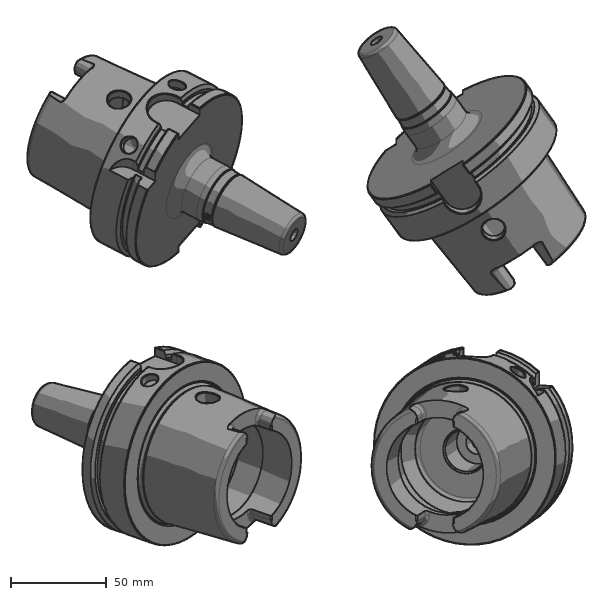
import cadquery as cq
import math


FLANGE_START = 50.0
SHANK_DIAMETER = 75.4
SHANK_RADIUS = SHANK_DIAMETER / 2
TAPER_END = 47.3
TAPER_SLOPE = 1 / 20
SHANK_END_ROUND = 1.9

RELIEF_DEPTH = 0.5
RELIEF_START = 48.1
RELIEF_END = 49.0
FACE_GROOVE_ROUND = 1.3
FACE_GROOVE_RIM_RADIUS = 39.5

FLANGE_END = 79.0
FLANGE_RADIUS = 100.0 / 2
FLANGE_CHAMFER = 0.5
GRIP_FLOOR_START = 68.0
GRIP_FLOOR_END = 71.8
GRIP_FLOOR_RADIUS = 46.1
GRIP_BEVEL_DEPTH = 2.2
GRIP_BEVEL_WIDTH = 1.3

LENGTH = 145.0
NECK_RADIUS = 32.0 / 2
NECK_FILLET = 5.8
NOSE_TAPER_START = 94.2
NOSE_TAPER_ANGLE = 4.5
TIP_ROUND = 1.7
BAND_START = 97.9
BAND_END = 104.0
BAND_DEPTH = 0.3
BAND_ENTRY = 0.5
BAND_EXIT = 0.9

CAVITY_RADIUS = 53.0 / 2
CLAMP_RADIUS = 63.0 / 2
CLAMP_START = 19.6
CLAMP_END = 47.8
CLAMP_SHOULDER_ANGLE = 60
CLAMP_RUNOUT_ANGLE = 30
CAVITY_DEPTH = 50.8
CAVITY_CORNER_ROUND = 1.7
TUBE_RADIUS = 22.3 / 2
TUBE_CHAMFER = 0.9
TUBE_DEPTH = 20.3
COOLANT_SEAT_RADIUS = 12.0 / 2
COOLANT_RADIUS = 7.0 / 2

SLOT_HALF_WIDTH = 19.6 / 2
SLOT_SHOULDER_HEIGHT = 32.2
SLOT_LUG_ROUND = 5.1
SLOT_FLOOR_FILLET = 1.7
SLOT_EDGE_CHAMFER = 0.7
UPPER_SLOT_DEPTH = 9.9
LOWER_SLOT_DEPTH = 14.8

CROSS_HOLE_X = 35.0
CROSS_HOLE_DIAMETER = 12.0

NOTCH_WIDTH = 20.0
NOTCH_START = 54.7
NOTCH_FLOOR_Z = 44.0
SIDE_NOTCH_FLOOR_Z = 31.5
SIDE_NOTCH_WALL_Y = -31.6

RIM_HOLE_X = 59.0
RIM_HOLE_DIAMETER = 9.0
RIM_HOLE_DEPTH = 4.6
DRILL_POINT_ANGLE = 118
POINTED_HOLE_TILT = 32
FLAT_HOLE_TILT = -21.7

SCREW_X = 100.9
SCREW_SEAT_DIAMETER = 5.0
SCREW_SEAT_DEPTH = 0.6
SCREW_SOCKET_DIAMETER = 2.2
SCREW_SOCKET_DEPTH = 0.7

RIM_CHAMFER = 0.5
RIM_HOLE_CHAMFER = 0.3
CLEARANCE = 7.2
COS_45 = math.cos(math.radians(45))


def shank_radius(x):
    return SHANK_RADIUS - (TAPER_END - x) * TAPER_SLOPE


def nose_radius(x):
    return NECK_RADIUS - (x - NOSE_TAPER_START) * math.tan(math.radians(NOSE_TAPER_ANGLE))


def revolve_about_x(profile):
    return profile.close().revolve(360, (0, 0, 0), (1, 0, 0))


def outer_body():
    relief_radius = SHANK_RADIUS - RELIEF_DEPTH
    face_groove_center_radius = relief_radius + FACE_GROOVE_ROUND
    face_groove_reach = FACE_GROOVE_ROUND * COS_45
    face_groove_mid = (RELIEF_END + face_groove_reach, face_groove_center_radius - face_groove_reach)
    face_groove_end = (RELIEF_END + FACE_GROOVE_ROUND, face_groove_center_radius)
    bevel_radius = FLANGE_RADIUS - GRIP_BEVEL_DEPTH
    fillet_mid_x = FLANGE_END + NECK_FILLET * (1 - COS_45)
    fillet_mid_radius = NECK_RADIUS + NECK_FILLET * (1 - COS_45)
    profile = (
        cq.Workplane("XY")
        .lineTo(0, shank_radius(0))
        .lineTo(TAPER_END, SHANK_RADIUS)
        .lineTo(RELIEF_START, relief_radius)
        .lineTo(RELIEF_END, relief_radius)
        .threePointArc(face_groove_mid, face_groove_end)
        .lineTo(FLANGE_START, FACE_GROOVE_RIM_RADIUS)
        .lineTo(FLANGE_START, FLANGE_RADIUS - FLANGE_CHAMFER)
        .lineTo(FLANGE_START + FLANGE_CHAMFER, FLANGE_RADIUS)
        .lineTo(GRIP_FLOOR_START - GRIP_BEVEL_WIDTH, FLANGE_RADIUS)
        .lineTo(GRIP_FLOOR_START, bevel_radius)
        .lineTo(GRIP_FLOOR_START, GRIP_FLOOR_RADIUS)
        .lineTo(GRIP_FLOOR_END, GRIP_FLOOR_RADIUS)
        .lineTo(GRIP_FLOOR_END, bevel_radius)
        .lineTo(GRIP_FLOOR_END + GRIP_BEVEL_WIDTH, FLANGE_RADIUS)
        .lineTo(FLANGE_END - FLANGE_CHAMFER, FLANGE_RADIUS)
        .lineTo(FLANGE_END, FLANGE_RADIUS - FLANGE_CHAMFER)
        .lineTo(FLANGE_END, NECK_RADIUS + NECK_FILLET)
        .threePointArc((fillet_mid_x, fillet_mid_radius), (FLANGE_END + NECK_FILLET, NECK_RADIUS))
        .lineTo(NOSE_TAPER_START, NECK_RADIUS)
        .lineTo(BAND_START, nose_radius(BAND_START))
        .lineTo(BAND_START + BAND_ENTRY, nose_radius(BAND_START + BAND_ENTRY) - BAND_DEPTH)
        .lineTo(BAND_END - BAND_EXIT, nose_radius(BAND_END - BAND_EXIT) - BAND_DEPTH)
        .lineTo(BAND_END, nose_radius(BAND_END))
        .lineTo(LENGTH, nose_radius(LENGTH))
        .lineTo(LENGTH, 0)
    )
    body = revolve_about_x(profile)
    body = body.faces("<X").edges().fillet(SHANK_END_ROUND)
    return body.faces(">X").edges().fillet(TIP_ROUND)


def inner_cavity():
    clamp_step = CLAMP_RADIUS - CAVITY_RADIUS
    shoulder_length = clamp_step / math.tan(math.radians(CLAMP_SHOULDER_ANGLE))
    runout_length = clamp_step / math.tan(math.radians(CLAMP_RUNOUT_ANGLE))
    corner_start = CAVITY_DEPTH - CAVITY_CORNER_ROUND
    corner_radius = CAVITY_RADIUS - CAVITY_CORNER_ROUND
    corner_reach = CAVITY_CORNER_ROUND * COS_45
    tube_floor = CAVITY_DEPTH + TUBE_DEPTH
    seat_depth = COOLANT_SEAT_RADIUS - COOLANT_RADIUS
    profile = (
        cq.Workplane("XY")
        .lineTo(0, CAVITY_RADIUS)
        .lineTo(CLAMP_START, CAVITY_RADIUS)
        .lineTo(CLAMP_START + shoulder_length, CLAMP_RADIUS)
        .lineTo(CLAMP_END - runout_length, CLAMP_RADIUS)
        .lineTo(CLAMP_END, CAVITY_RADIUS)
        .lineTo(corner_start, CAVITY_RADIUS)
        .threePointArc(
            (corner_start + corner_reach, corner_radius + corner_reach),
            (CAVITY_DEPTH, corner_radius),
        )
        .lineTo(CAVITY_DEPTH, TUBE_RADIUS + TUBE_CHAMFER)
        .lineTo(CAVITY_DEPTH + TUBE_CHAMFER, TUBE_RADIUS)
        .lineTo(tube_floor, TUBE_RADIUS)
        .lineTo(tube_floor, COOLANT_SEAT_RADIUS)
        .lineTo(tube_floor + seat_depth, COOLANT_RADIUS)
        .lineTo(LENGTH, COOLANT_RADIUS)
        .lineTo(LENGTH, 0)
    )
    return revolve_about_x(profile)


def drive_slot_outline():
    """Slot section across the shank: parallel walls that round outward over the drive lugs."""
    lug_center_y = SLOT_HALF_WIDTH + SLOT_LUG_ROUND
    lug_center_z = SLOT_SHOULDER_HEIGHT - SLOT_LUG_ROUND
    reach = SLOT_LUG_ROUND * COS_45
    arc_mid = (lug_center_y - reach, lug_center_z + reach)
    top = SHANK_RADIUS + CLEARANCE
    return (
        cq.Workplane("YZ")
        .moveTo(-SLOT_HALF_WIDTH, 0)
        .lineTo(SLOT_HALF_WIDTH, 0)
        .lineTo(SLOT_HALF_WIDTH, lug_center_z)
        .threePointArc(arc_mid, (lug_center_y, SLOT_SHOULDER_HEIGHT))
        .lineTo(SHANK_RADIUS, SLOT_SHOULDER_HEIGHT)
        .lineTo(SHANK_RADIUS, top)
        .lineTo(-SHANK_RADIUS, top)
        .lineTo(-SHANK_RADIUS, SLOT_SHOULDER_HEIGHT)
        .lineTo(-lug_center_y, SLOT_SHOULDER_HEIGHT)
        .threePointArc((-arc_mid[0], arc_mid[1]), (-SLOT_HALF_WIDTH, lug_center_z))
        .close()
    )


def drive_slot(depth):
    slot = drive_slot_outline().extrude(depth).faces(">X").edges().fillet(SLOT_FLOOR_FILLET)
    flared_half_width = SLOT_HALF_WIDTH + SLOT_EDGE_CHAMFER
    flare = (
        cq.Workplane("XY")
        .moveTo(0, -flared_half_width)
        .lineTo(SLOT_EDGE_CHAMFER, -SLOT_HALF_WIDTH)
        .lineTo(SLOT_EDGE_CHAMFER, SLOT_HALF_WIDTH)
        .lineTo(0, flared_half_width)
        .close()
        .extrude(SLOT_SHOULDER_HEIGHT - SLOT_LUG_ROUND)
    )
    return slot.union(flare)


def cross_hole():
    return (
        cq.Workplane("XY", origin=(CROSS_HOLE_X, 0, 0))
        .circle(CROSS_HOLE_DIAMETER / 2)
        .extrude(SHANK_RADIUS + CLEARANCE, both=True)
    )


def round_ended_notch(center_y, floor_z):
    """Notch open toward +X and +Z, its closed end a half circle in plan."""
    radius = NOTCH_WIDTH / 2
    center_x = NOTCH_START + radius
    return (
        cq.Workplane("XY", origin=(0, 0, floor_z))
        .moveTo(FLANGE_END, center_y - radius)
        .lineTo(center_x, center_y - radius)
        .threePointArc((NOTCH_START, center_y), (center_x, center_y + radius))
        .lineTo(FLANGE_END, center_y + radius)
        .close()
        .extrude(FLANGE_RADIUS)
    )


def rim_hole(tilt, pointed):
    """Blind hole along +Z, then tilted about the X axis by the given angle."""
    radius = RIM_HOLE_DIAMETER / 2
    floor = FLANGE_RADIUS - RIM_HOLE_DEPTH
    point = radius / math.tan(math.radians(DRILL_POINT_ANGLE / 2)) if pointed else 0
    hole = (
        cq.Workplane("XZ")
        .moveTo(0, floor - point)
        .lineTo(radius, floor)
        .lineTo(radius, FLANGE_RADIUS + CLEARANCE)
        .lineTo(0, FLANGE_RADIUS + CLEARANCE)
        .close()
        .revolve(360, (0, 0, 0), (0, 1, 0))
    )
    return hole.translate((RIM_HOLE_X, 0, 0)).rotate((0, 0, 0), (1, 0, 0), tilt)


def screw_seat():
    floor_y = -(nose_radius(SCREW_X) - SCREW_SEAT_DEPTH)
    floor = cq.Workplane("XZ", origin=(SCREW_X, floor_y, 0))
    seat = floor.circle(SCREW_SEAT_DIAMETER / 2).extrude(CLEARANCE)
    socket = floor.circle(SCREW_SOCKET_DIAMETER / 2).extrude(-SCREW_SOCKET_DEPTH)
    return seat.union(socket)


def chamfer_edges_in_box(body, low_corner, high_corner, size):
    """Chamfer the edges whose centers lie in a box given by two opposite corners."""
    return body.edges(cq.selectors.BoxSelector(low_corner, high_corner)).chamfer(size)


def chamfer_cross_hole_rim(body, side):
    half = CROSS_HOLE_DIAMETER / 2
    middle_of_wall = side * (CLAMP_RADIUS + SHANK_RADIUS) / 2
    low = (CROSS_HOLE_X - half, -half, middle_of_wall)
    high = (CROSS_HOLE_X + half, half, side * SHANK_RADIUS)
    return chamfer_edges_in_box(body, low, high, RIM_CHAMFER)


def chamfer_notch_rim(body, side):
    """Chamfer the rim on the flange cylinder, leaving the gripper groove and end face edges sharp."""
    low = (NOTCH_START, -NOTCH_WIDTH, side * (FLANGE_RADIUS - GRIP_BEVEL_DEPTH / 2))
    high = (FLANGE_END - FLANGE_CHAMFER, NOTCH_WIDTH, side * FLANGE_RADIUS)
    return chamfer_edges_in_box(body, low, high, RIM_CHAMFER)


def chamfer_rim_hole(body, tilt):
    reach = RIM_HOLE_DIAMETER / 4
    y = -FLANGE_RADIUS * math.sin(math.radians(tilt))
    z = FLANGE_RADIUS * math.cos(math.radians(tilt))
    low = (RIM_HOLE_X - reach, y - reach, z - reach)
    high = (RIM_HOLE_X + reach, y + reach, z + reach)
    return chamfer_edges_in_box(body, low, high, RIM_HOLE_CHAMFER)


upper_notch = round_ended_notch(0, NOTCH_FLOOR_Z)
side_notch = round_ended_notch(SIDE_NOTCH_WALL_Y - NOTCH_WIDTH / 2, SIDE_NOTCH_FLOOR_Z)

cutters = [
    inner_cavity(),
    drive_slot(UPPER_SLOT_DEPTH),
    drive_slot(LOWER_SLOT_DEPTH).mirror("XY"),
    cross_hole(),
    upper_notch,
    upper_notch.mirror("XY"),
    side_notch,
    rim_hole(POINTED_HOLE_TILT, pointed=True),
    rim_hole(FLAT_HOLE_TILT, pointed=False),
    screw_seat(),
]

result = outer_body()
for cutter in cutters:
    result = result.cut(cutter)
for side in (1, -1):
    result = chamfer_cross_hole_rim(result, side)
    result = chamfer_notch_rim(result, side)
for tilt in (POINTED_HOLE_TILT, FLAT_HOLE_TILT):
    result = chamfer_rim_hole(result, tilt)